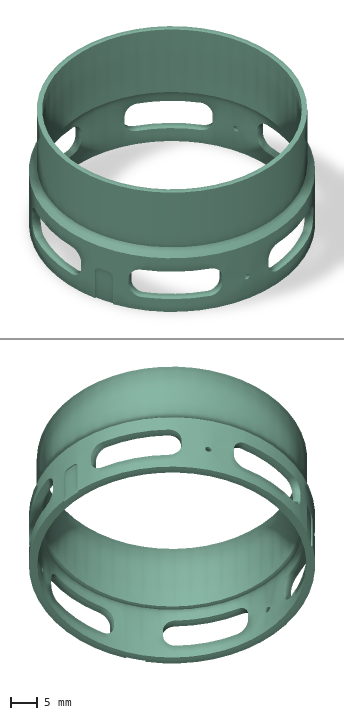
import cadquery as cq
import math

outer_diameter = 54.85
collar_diameter = 51.85
collar_bore = 49.75
skirt_bore = 51.55
height = 27.8
shoulder_top = 14.55
shoulder_drop = (outer_diameter - collar_diameter) / 2
skirt_bore_depth = 12.6

window_count = 6
window_pitch = 360 / window_count
set_count = 3
set_pitch = 360 / set_count

window_angle = 38.2
window_bottom = 3.1
window_height = 6.65
window_corner_radius = 2.6

keyway_first_angle = 30
keyway_width = 3.9
keyway_height = 7.6
keyway_corner_radius = 1.1
keyway_depth = 0.3

pin_first_angle = 90
pin_diameter = 1.2
pin_height = 5.45

outer_radius = outer_diameter / 2
cut_reach = 1.2 * outer_radius


def ring_body():
    """Revolve the stepped wall section about Z."""
    section = [
        (skirt_bore / 2, 0),
        (outer_radius, 0),
        (outer_radius, shoulder_top - shoulder_drop),
        (collar_diameter / 2, shoulder_top),
        (collar_diameter / 2, height),
        (collar_bore / 2, height),
        (collar_bore / 2, skirt_bore_depth),
        (skirt_bore / 2, skirt_bore_depth),
    ]
    return cq.Workplane("XZ").polyline(section).close().revolve(360, (0, 0), (0, 1))


def window_cutter():
    """Rounded window along +X, tapering toward the axis so its ends stay radial."""
    inner_reach = outer_radius / 2
    half_angle = math.radians(window_angle / 2)
    middle = window_bottom + window_height / 2
    half_height = window_height / 2
    corner_flat = half_height - window_corner_radius
    diagonal = window_corner_radius * math.sqrt(0.5)

    def outline(reach):
        spread = reach / (outer_radius * math.cos(half_angle))
        half_width = outer_radius * math.sin(half_angle)
        straight = half_width - window_corner_radius

        def at(side, rise):
            return cq.Vector(reach, side * spread, middle + rise)

        edges = []
        corners = [(1, 1), (-1, 1), (-1, -1), (1, -1)]
        corner_arcs = []
        for side, rise in corners:
            on_end = at(side * half_width, rise * corner_flat)
            on_arc = at(side * (straight + diagonal), rise * (corner_flat + diagonal))
            on_edge = at(side * straight, rise * half_height)
            points = [on_end, on_arc, on_edge]
            if side != rise:
                points.reverse()
            corner_arcs.append(points)
        for index, points in enumerate(corner_arcs):
            edges.append(cq.Edge.makeThreePointArc(*points))
            next_start = corner_arcs[(index + 1) % len(corner_arcs)][0]
            edges.append(cq.Edge.makeLine(points[-1], next_start))
        return cq.Wire.assembleEdges(edges)

    return cq.Solid.makeLoft([outline(inner_reach), outline(cut_reach)], True)


def keyway_cutter():
    """Round-cornered recess along +X with a floor concentric with the skirt."""
    block = (
        cq.Workplane("XY")
        .box(cut_reach, keyway_width, keyway_height, centered=(False, True, False))
        .edges("|X and >Z")
        .fillet(keyway_corner_radius)
    )
    core = cq.Workplane("XY").circle(outer_radius - keyway_depth).extrude(height)
    return block.cut(core).val()


def pin_cutter():
    """Radial hole along +X."""
    return cq.Solid.makeCylinder(
        pin_diameter / 2, cut_reach, cq.Vector(0, 0, pin_height), cq.Vector(1, 0, 0)
    )


def cut_around(body, cutter, count, first_angle, pitch):
    """Cut evenly spaced copies of a cutter about Z."""
    for index in range(count):
        angle = first_angle + index * pitch
        body = body.cut(cq.Workplane(cutter.rotate((0, 0, 0), (0, 0, 1), angle)))
    return body


result = ring_body()
result = cut_around(result, window_cutter(), window_count, 0, window_pitch)
result = cut_around(result, keyway_cutter(), set_count, keyway_first_angle, set_pitch)
result = cut_around(result, pin_cutter(), set_count, pin_first_angle, set_pitch)